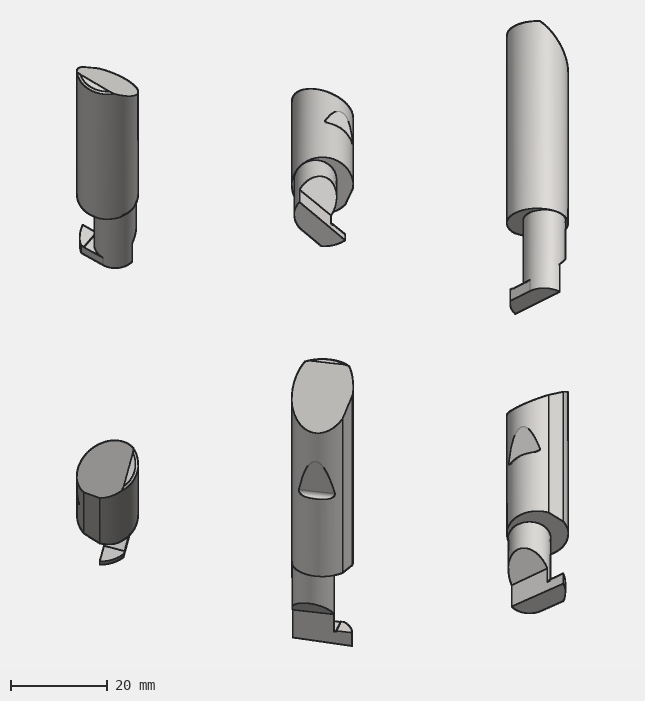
import cadquery as cq
import math

total_length = 63.5
shank_radius = 6.35
shank_bottom = 19.05
top_chamfer_width = 0.6
top_chamfer_height = 0.2
bevel_start_y = -4.45
facet_angle = 36

notch_bottom = 37.2
notch_top = 46.0
notch_depth = 1.45
notch_fillet = 0.95

neck_radius = 4.4
neck_x = shank_radius - neck_radius
relief_bottom = 7

tip_x = -6.3
nose_x = -3.55
nose_radius = 7.6
head_height = 3.2
step_x = -2.85
tip_relief_depth = 0.1
ramp_depth = 0.25
bottom_slope_x = 0.035
bottom_slope_y = 0.05
margin = 3.2


def prism_along_x(points):
    """Extrude a YZ outline right across the part."""
    reach = shank_radius + margin
    return cq.Workplane("YZ").polyline(points).close().extrude(reach, both=True)


def make_shank():
    edge_radius = shank_radius - top_chamfer_width
    profile = [
        (0, shank_bottom),
        (shank_radius, shank_bottom),
        (shank_radius, total_length - top_chamfer_height),
        (edge_radius, total_length),
        (0, total_length),
    ]
    shank = cq.Workplane("XZ").polyline(profile).close().revolve(360, (0, 0, 0), (0, 1, 0))

    bevel_run = shank_radius + margin - bevel_start_y
    bevel = prism_along_x([
        (bevel_start_y - margin, total_length + margin),
        (bevel_start_y + bevel_run, total_length + margin),
        (bevel_start_y + bevel_run, total_length - bevel_run),
    ])

    half_chord_angle = facet_angle / 2
    flat_distance = shank_radius * math.cos(math.radians(half_chord_angle))
    flat = (
        cq.Workplane("XY")
        .box(margin, 2 * shank_radius, total_length, centered=(False, True, False))
        .translate((flat_distance, 0, 0))
        .rotate((0, 0, 0), (0, 0, 1), 180 - half_chord_angle)
    )
    return shank.cut(bevel).cut(flat).cut(make_notch())


def make_notch():
    floor_y = shank_radius - notch_depth
    outside_y = shank_radius + margin
    notch = prism_along_x([
        (floor_y, notch_bottom),
        (shank_radius, notch_top),
        (outside_y, notch_top),
        (outside_y, notch_bottom),
    ])
    return notch.edges("|X and <Y").fillet(notch_fillet)


def make_neck():
    neck = cq.Workplane("XY").center(neck_x, 0).circle(neck_radius).extrude(shank_bottom)
    relief_width = neck_radius + margin
    relief = prism_along_x([
        (0, -margin),
        (0, relief_bottom),
        (relief_width, relief_bottom + relief_width),
        (relief_width, -margin),
    ])
    return neck.cut(relief)


def make_head():
    head = (
        cq.Workplane("XY")
        .moveTo(neck_x, 0)
        .lineTo(tip_x, 0)
        .radiusArc((nose_x, -neck_radius), -nose_radius)
        .lineTo(neck_x, -neck_radius)
        .close()
        .extrude(head_height)
    )
    tip_zone = cq.Workplane("XY").box(
        step_x - tip_x, neck_radius, head_height, centered=False
    ).translate((tip_x, -neck_radius, 0))
    tip_relief = prism_along_x([
        (0, head_height),
        (-neck_radius, head_height - tip_relief_depth),
        (-neck_radius, head_height),
    ]).intersect(tip_zone)
    ramp_relief = (
        cq.Workplane("XZ")
        .polyline([
            (step_x, head_height - ramp_depth),
            (neck_x, head_height),
            (step_x, head_height),
        ])
        .close()
        .extrude(neck_radius)
    )
    return head.cut(tip_relief).cut(ramp_relief)


def make_bottom_clearance():
    """Body below a plane that rises from the tip corner toward +X and -Y."""
    cut_size = 6 * shank_radius
    plane = cq.Plane(
        origin=(tip_x, 0, 0),
        xDir=(1, 0, bottom_slope_x),
        normal=(-bottom_slope_x, bottom_slope_y, 1),
    )
    return cq.Workplane(plane).rect(cut_size, cut_size).extrude(-margin)


tool_end = make_neck().union(make_head()).cut(make_bottom_clearance())
result = make_shank().union(tool_end)